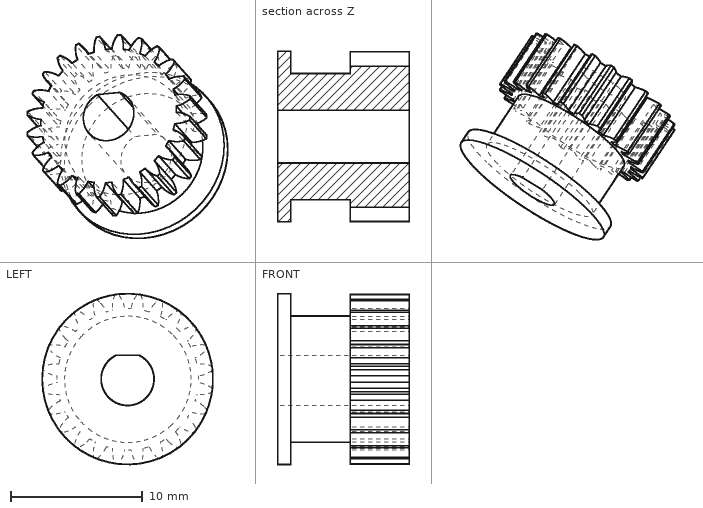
import cadquery as cq
import math

FLANGE_WIDTH = 1.0
HUB_WIDTH = 4.5
GEAR_WIDTH = 4.5

OUTER_DIAMETER = 13.0
HUB_DIAMETER = 9.62
BORE_DIAMETER = 4.0
FLAT_HEIGHT = 1.8

TOOTH_COUNT = 24
ADDENDUM_FACTOR = 1.0
DEDENDUM_FACTOR = 1.25
MODULE = OUTER_DIAMETER / (TOOTH_COUNT + 2 * ADDENDUM_FACTOR)
TIP_RADIUS = OUTER_DIAMETER / 2
PITCH_RADIUS = MODULE * TOOTH_COUNT / 2
ROOT_RADIUS = PITCH_RADIUS - DEDENDUM_FACTOR * MODULE
TOOTH_PITCH = 360 / TOOTH_COUNT

TIP_HALF_ANGLE = 1.2
PITCH_HALF_ANGLE = 3.4
ROOT_HALF_ANGLE = 4.9

HUB_START = FLANGE_WIDTH
GEAR_START = HUB_START + HUB_WIDTH
TOTAL_WIDTH = GEAR_START + GEAR_WIDTH


def polar(radius, degrees):
    """Point at an angle measured from +Y towards +Z."""
    angle = math.radians(degrees)
    return (radius * math.cos(angle), radius * math.sin(angle))


def disc(start, width, diameter):
    """Round disc about the X axis, starting at the given X."""
    return cq.Workplane("YZ", origin=(start, 0, 0)).circle(diameter / 2).extrude(width)


def gear():
    """Spur gear with curved flanks and a gap centred on each of the Y and Z axes."""
    first_centre = TOOTH_PITCH / 2
    outline = cq.Workplane("YZ", origin=(GEAR_START, 0, 0)).moveTo(
        *polar(ROOT_RADIUS, first_centre - ROOT_HALF_ANGLE)
    )
    for tooth in range(TOOTH_COUNT):
        centre = first_centre + tooth * TOOTH_PITCH
        next_gap = centre + TOOTH_PITCH / 2
        next_root = centre + TOOTH_PITCH - ROOT_HALF_ANGLE
        outline = (
            outline
            .threePointArc(
                polar(PITCH_RADIUS, centre - PITCH_HALF_ANGLE),
                polar(TIP_RADIUS, centre - TIP_HALF_ANGLE),
            )
            .threePointArc(
                polar(TIP_RADIUS, centre),
                polar(TIP_RADIUS, centre + TIP_HALF_ANGLE),
            )
            .threePointArc(
                polar(PITCH_RADIUS, centre + PITCH_HALF_ANGLE),
                polar(ROOT_RADIUS, centre + ROOT_HALF_ANGLE),
            )
            .threePointArc(
                polar(ROOT_RADIUS, next_gap),
                polar(ROOT_RADIUS, next_root),
            )
        )
    return outline.close().extrude(GEAR_WIDTH)


def bore():
    """Through bore with a flat on its +Z side."""
    bore_radius = BORE_DIAMETER / 2
    below_flat = (
        cq.Workplane("YZ")
        .center(0, (FLAT_HEIGHT - bore_radius) / 2)
        .rect(BORE_DIAMETER, FLAT_HEIGHT + bore_radius)
        .extrude(TOTAL_WIDTH)
    )
    return disc(0, TOTAL_WIDTH, BORE_DIAMETER).intersect(below_flat)


flange = disc(0, FLANGE_WIDTH, OUTER_DIAMETER)
hub = disc(HUB_START, HUB_WIDTH, HUB_DIAMETER)
result = flange.union(hub).union(gear()).cut(bore())